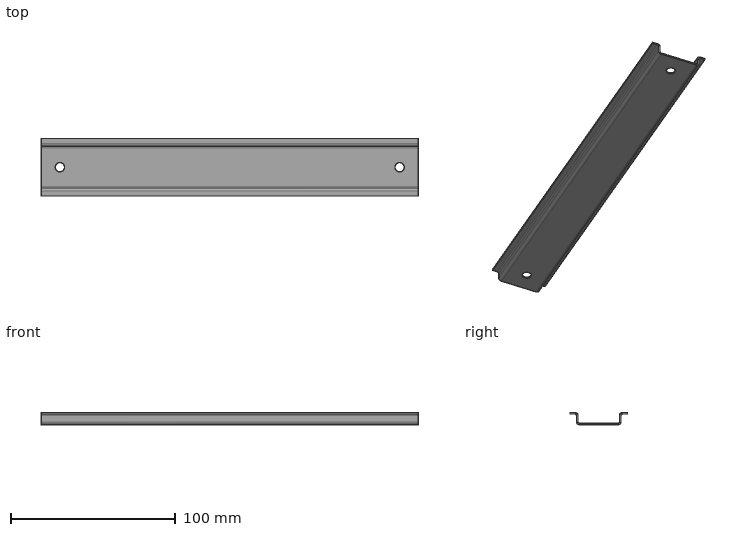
import cadquery as cq

length = 229.0
width = 35.0
height = 7.5
sheet = 1.03
channel_width = 27.0
inner_bend = 0.8
outer_bend = inner_bend + sheet
hole_diameter = 5.5
hole_spacing = 206.0

half_width = width / 2
wall_outside = channel_width / 2
wall_inside = wall_outside - sheet


def hat_section():
    """Closed outline of the bent sheet, with sharp corners."""
    right_side = [
        (wall_outside, 0),
        (wall_outside, height - sheet),
        (half_width, height - sheet),
        (half_width, height),
        (wall_inside, height),
        (wall_inside, sheet),
    ]
    left_side = [(-y, z) for y, z in reversed(right_side)]
    return cq.Workplane("YZ").polyline(right_side + left_side).close()


def bend_edges(body, y, z, radius):
    """Round the pair of lengthwise edges at +y and -y, height z."""
    for side in (-1, 1):
        edge = cq.selectors.NearestToPointSelector((0, side * y, z))
        body = body.edges("|X").edges(edge).fillet(radius)
    return body


rail = hat_section().extrude(length / 2, both=True)

rail = bend_edges(rail, wall_inside, sheet, inner_bend)
rail = bend_edges(rail, wall_outside, 0, outer_bend)
rail = bend_edges(rail, wall_outside, height - sheet, inner_bend)
rail = bend_edges(rail, wall_inside, height, outer_bend)

holes = (
    cq.Workplane("XY")
    .pushPoints([(-hole_spacing / 2, 0), (hole_spacing / 2, 0)])
    .circle(hole_diameter / 2)
    .extrude(height)
)
result = rail.cut(holes)